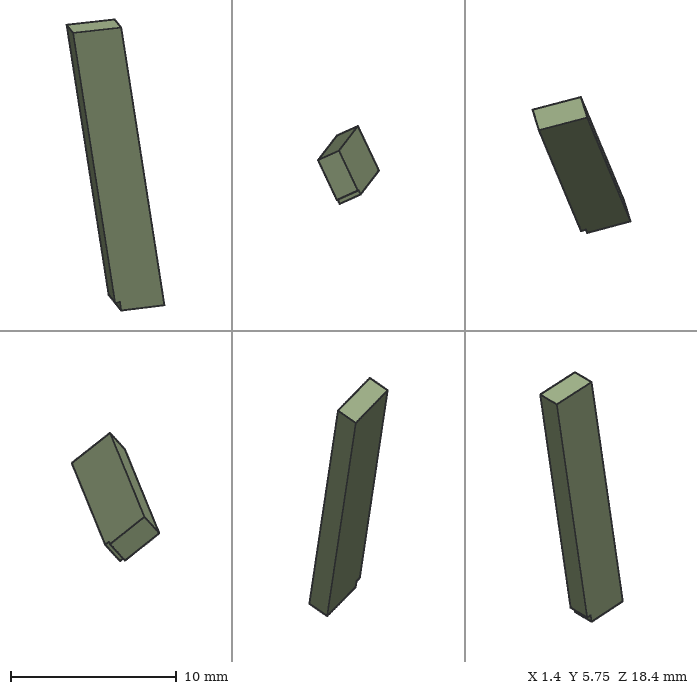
import cadquery as cq

thickness = 1.4
height = 18.36
depth = 5.75
top_length = 3.03
foot_length = 2.72
step_height = 0.55
heel_rise = 0.04

lean = (depth - top_length) / (height - heel_rise)
toe_y = depth - foot_length
step_inner_y = toe_y - lean * step_height
step_outer_y = lean * (height - step_height)

profile = [
    (0, height),
    (top_length, height),
    (depth, heel_rise),
    (toe_y, 0),
    (step_inner_y, step_height),
    (step_outer_y, step_height),
]

result = cq.Workplane("YZ").polyline(profile).close().extrude(thickness)